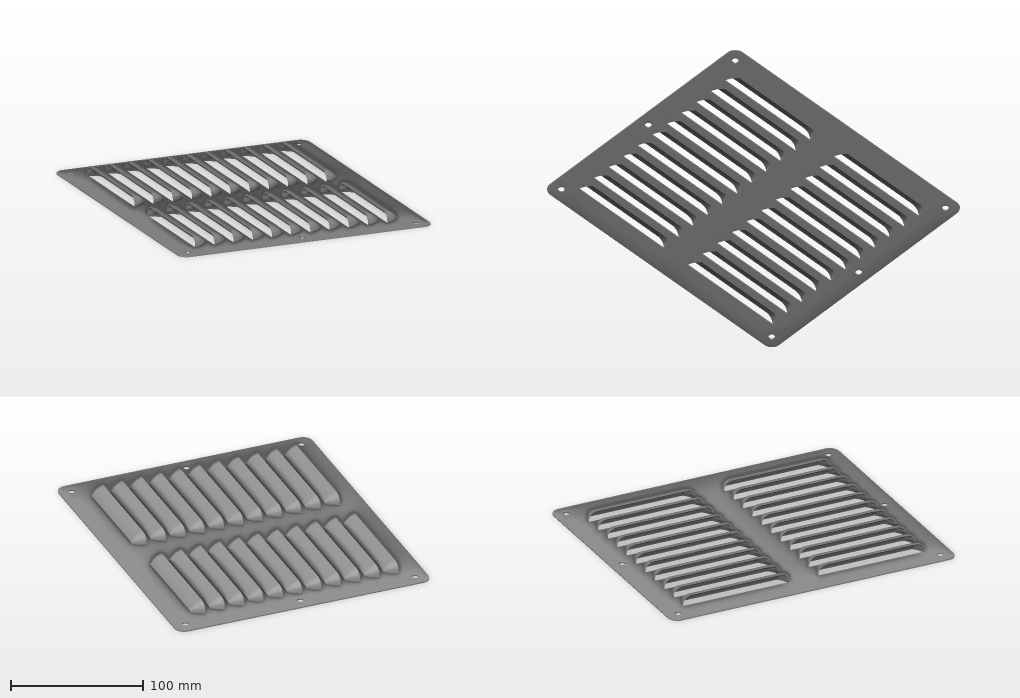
import cadquery as cq
import math

plate_length = 241.3
plate_width = 208.0
total_height = 9.5
sheet = 1.0
corner_radius = 7.7

hole_diameter = 5.0
hole_inset = 10.0

louver_length = 91.2
louver_depth = 10.4
louver_rows = 11
rows_span = 158.3
row_pitch = rows_span / (louver_rows - 1)
column_spacing = 114.4

wall = 1.0
base_height = 0.7
back_height = 1.5
arch_height = total_height - sheet - base_height
lip_tilt = math.radians(12)

lip_setback = wall * math.sin(lip_tilt)
arc_run = louver_depth - lip_setback
arc_rise = arch_height - back_height
chord = math.hypot(arc_run, arc_rise)
chord_slope = math.atan2(arc_rise, arc_run)
outer_radius = chord / (2 * math.sin(chord_slope - lip_tilt))
inner_radius = outer_radius - wall
arc_y = lip_setback - outer_radius * math.sin(lip_tilt)
arc_z = arch_height - outer_radius * math.cos(lip_tilt)

straight_length = louver_length - 2 * arch_height
half_straight = straight_length / 2


def arc_point(radius, angle):
    """Point (y, z) on a hood arc, at an angle measured from +Z toward +Y."""
    return arc_y + radius * math.sin(angle), arc_z + radius * math.cos(angle)


def section(plane, inset):
    """Filled hood section, its arc and back moved inward by inset; the plane's x is +Y."""
    radius = outer_radius - inset
    back_y = louver_depth - inset
    back_angle = math.asin((back_y - arc_y) / radius)
    middle_angle = (lip_tilt + back_angle) / 2
    front_points = [(0, 0), arc_point(inner_radius, lip_tilt)]
    if inset < wall:
        front_points.append(arc_point(radius, lip_tilt))
    return (
        cq.Workplane(plane)
        .polyline(front_points)
        .threePointArc(arc_point(radius, middle_angle), arc_point(radius, back_angle))
        .lineTo(back_y, 0)
        .close()
    )


def hood_body(inset, bottom_z):
    """Filled hood with revolved ends, its footprint carried straight down to bottom_z."""
    back_y = louver_depth - inset
    base_depth = base_height - bottom_z
    base = cq.Workplane("XY", origin=(0, 0, bottom_z)).box(
        straight_length, back_y, base_depth, centered=(True, False, False)
    )
    upright_plane = cq.Plane(origin=(-half_straight, 0, base_height), xDir=(0, 1, 0), normal=(1, 0, 0))
    body = base.union(section(upright_plane, inset).extrude(straight_length))
    for side in (-1, 1):
        end_origin = (side * half_straight, 0, base_height)
        end_plane = cq.Plane(origin=end_origin, xDir=(0, 1, 0), normal=(0, 0, -side))
        end_base = section(end_plane, inset).extrude(side * base_depth)
        end_arch = section(end_plane, inset).revolve(180, (0, 0), (-side, 0))
        body = body.union(end_base).union(end_arch)
    return body


hole_x = plate_length / 2 - hole_inset
hole_y = plate_width / 2 - hole_inset
hole_places = [(x, y) for x in (-hole_x, hole_x) for y in (-hole_y, 0, hole_y)]
plate = (
    cq.Workplane("XY", origin=(0, 0, -sheet))
    .box(plate_length, plate_width, sheet, centered=(True, True, False))
    .edges("|Z")
    .fillet(corner_radius)
    .faces(">Z")
    .workplane()
    .pushPoints(hole_places)
    .hole(hole_diameter)
)

hollow = hood_body(wall, -sheet)
hood = hood_body(0, 0).cut(hollow)

first_row_y = -(rows_span + louver_depth) / 2
louver_places = [
    cq.Location(cq.Vector(x, first_row_y + row * row_pitch, 0))
    for x in (-column_spacing / 2, column_spacing / 2)
    for row in range(louver_rows)
]
slots = [hollow.val().moved(place) for place in louver_places]
hoods = [hood.val().moved(place) for place in louver_places]
result = cq.Workplane(plate.val().cut(*slots).fuse(*hoods))